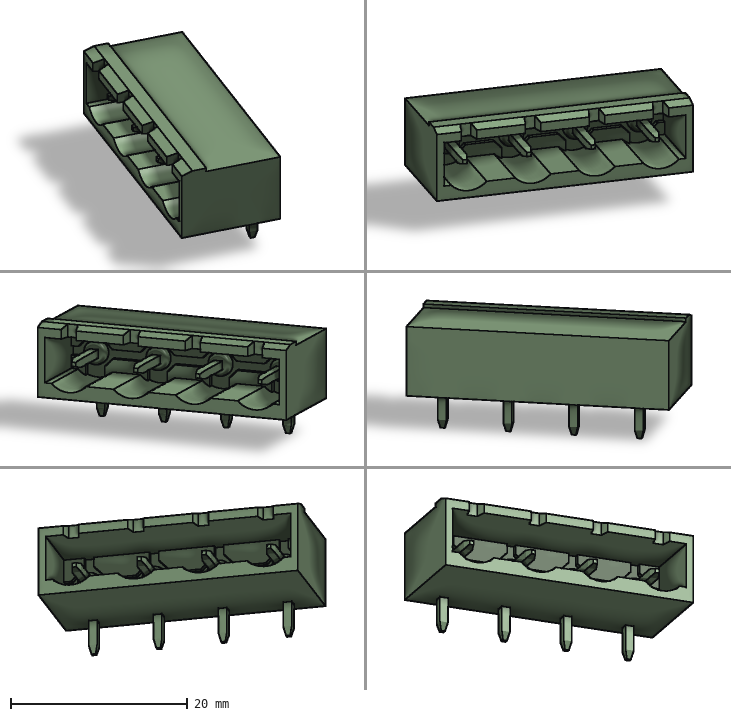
import cadquery as cq


PIN_COUNT = 4
PITCH = 7.62
AXIS_HEIGHT = 3.8

LENGTH = PIN_COUNT * PITCH
DEPTH = 12.0
BODY_HEIGHT = 8.1
LIP_TOP = 8.53
LIP_DEPTH = 3.0
LIP_BEVEL_DEPTH = 1.28

END_WALL = 0.85
CAVITY_WIDTH = LENGTH - 2 * END_WALL
CAVITY_FLOOR = 1.75
CAVITY_TOP = 7.0
CAVITY_DEPTH = 7.92
SCOOP_RADIUS = PITCH / 2 - END_WALL

GROOVE_DEPTH = 0.6
GROOVE_HALF_WIDTH = 0.55
GROOVE_JUNCTION_HALF_WIDTH = 2.1
LOWER_GROOVE_HALF_WIDTH = 1.2
GROOVE_FLOOR = CAVITY_DEPTH + GROOVE_DEPTH

COLLAR_DIAMETER = 2.8
COLLAR_HEIGHT = 1.0
COLLAR_ROUNDING = 0.5

NOTCH_FRONT_WIDTH = 1.83
NOTCH_BACK_WIDTH = 1.22

PIN_WIDTH = 1.0
TIP_WIDTH = 0.5
TIP_LENGTH = 1.0
PIN_TIP_Y = 1.5
LEG_Y = 10.03
LEG_BOTTOM = -3.95

PIN_XS = [(i - (PIN_COUNT - 1) / 2) * PITCH for i in range(PIN_COUNT)]


def block(x_size, y_range, z_range):
    """Box centred on X that spans the given Y and Z ranges."""
    y_size = y_range[1] - y_range[0]
    z_size = z_range[1] - z_range[0]
    box = cq.Workplane("XY").box(x_size, y_size, z_size, centered=(True, False, False))
    return box.translate((0, y_range[0], z_range[0]))


def facing_back(y):
    """Workplane at depth y that extrudes toward +Y, with local x = -X and local y = Z."""
    return cq.Workplane(cq.Plane(origin=(0, y, 0), xDir=(-1, 0, 0), normal=(0, 1, 0)))


def make_shell():
    """Housing block with the bevelled lip along its top front edge."""
    return (
        cq.Workplane("YZ")
        .moveTo(0, 0)
        .lineTo(DEPTH, 0)
        .lineTo(DEPTH, BODY_HEIGHT)
        .lineTo(LIP_DEPTH, BODY_HEIGHT)
        .lineTo(LIP_DEPTH, LIP_TOP)
        .lineTo(LIP_BEVEL_DEPTH, LIP_TOP)
        .lineTo(0, BODY_HEIGHT)
        .close()
        .extrude(LENGTH / 2, both=True)
    )


def make_cavity(depth):
    """Rectangular opening with a round scoop in its floor below each contact."""
    cavity = block(CAVITY_WIDTH, (0, depth), (CAVITY_FLOOR, CAVITY_TOP))
    for x in PIN_XS:
        scoop = facing_back(0).center(-x, AXIS_HEIGHT).circle(SCOOP_RADIUS).extrude(depth)
        cavity = cavity.union(scoop)
    return cavity


def make_groove_junction(x):
    """Groove area around one contact, with 45 degree sides and branches up and down."""
    lower_knee = -GROOVE_HALF_WIDTH - (GROOVE_JUNCTION_HALF_WIDTH - LOWER_GROOVE_HALF_WIDTH)
    half_outline = [
        (GROOVE_HALF_WIDTH, CAVITY_TOP - AXIS_HEIGHT),
        (GROOVE_HALF_WIDTH, GROOVE_JUNCTION_HALF_WIDTH),
        (GROOVE_JUNCTION_HALF_WIDTH, GROOVE_HALF_WIDTH),
        (GROOVE_JUNCTION_HALF_WIDTH, -GROOVE_HALF_WIDTH),
        (LOWER_GROOVE_HALF_WIDTH, lower_knee),
        (LOWER_GROOVE_HALF_WIDTH, -AXIS_HEIGHT),
    ]
    mirrored = [(-px, pz) for px, pz in reversed(half_outline)]
    outline = half_outline + mirrored
    return facing_back(0).center(-x, AXIS_HEIGHT).polyline(outline).close().extrude(GROOVE_FLOOR)


def make_grooves():
    """Groove network of the back wall, held within the outline of the cavity."""
    band = (AXIS_HEIGHT - GROOVE_HALF_WIDTH, AXIS_HEIGHT + GROOVE_HALF_WIDTH)
    grooves = block(CAVITY_WIDTH, (0, GROOVE_FLOOR), band)
    for x in PIN_XS:
        grooves = grooves.union(make_groove_junction(x))
    return grooves.intersect(make_cavity(GROOVE_FLOOR))


def make_collar(x):
    """Round collar on the groove floor with a rounded front rim."""
    front = GROOVE_FLOOR - COLLAR_HEIGHT
    collar = facing_back(front).center(-x, AXIS_HEIGHT).circle(COLLAR_DIAMETER / 2).extrude(COLLAR_HEIGHT)
    return collar.faces("<Y").edges().fillet(COLLAR_ROUNDING)


def make_notch(x):
    """Notch through the roof that narrows from the front edge to the end of the bevel."""
    return (
        cq.Workplane("XY", origin=(x, 0, CAVITY_TOP))
        .moveTo(-NOTCH_FRONT_WIDTH / 2, 0)
        .lineTo(NOTCH_FRONT_WIDTH / 2, 0)
        .lineTo(NOTCH_BACK_WIDTH / 2, LIP_BEVEL_DEPTH)
        .lineTo(-NOTCH_BACK_WIDTH / 2, LIP_BEVEL_DEPTH)
        .close()
        .extrude(LIP_TOP - CAVITY_TOP)
    )


def make_tip(plane):
    """Tapered pin end that starts on the given plane."""
    return (
        cq.Workplane(plane)
        .rect(PIN_WIDTH, PIN_WIDTH)
        .workplane(offset=TIP_LENGTH)
        .rect(TIP_WIDTH, TIP_WIDTH)
        .loft()
    )


def make_pin(x):
    """Square pin bent at a right angle: a contact toward the front and a leg downward."""
    half = PIN_WIDTH / 2
    contact_start = PIN_TIP_Y + TIP_LENGTH
    leg_start = LEG_BOTTOM + TIP_LENGTH
    contact = block(PIN_WIDTH, (contact_start, LEG_Y + half), (AXIS_HEIGHT - half, AXIS_HEIGHT + half))
    leg = block(PIN_WIDTH, (LEG_Y - half, LEG_Y + half), (leg_start, AXIS_HEIGHT + half))
    contact_end = cq.Plane(origin=(0, contact_start, AXIS_HEIGHT), xDir=(1, 0, 0), normal=(0, -1, 0))
    leg_end = cq.Plane(origin=(0, LEG_Y, leg_start), xDir=(1, 0, 0), normal=(0, 0, -1))
    pin = contact.union(leg).union(make_tip(contact_end)).union(make_tip(leg_end))
    return pin.translate((x, 0, 0))


def make_housing(pins):
    """Housing with its cavity, grooves, collars and notches, and a fitting hole for each pin."""
    housing = make_shell().cut(make_cavity(CAVITY_DEPTH)).cut(make_grooves())
    for x in PIN_XS:
        housing = housing.union(make_collar(x)).cut(make_notch(x))
    for pin in pins:
        housing = housing.cut(pin)
    return housing


pins = [make_pin(x) for x in PIN_XS]
housing = make_housing(pins)

result = cq.Compound.makeCompound([housing.solids().val(), *[pin.solids().val() for pin in pins]])